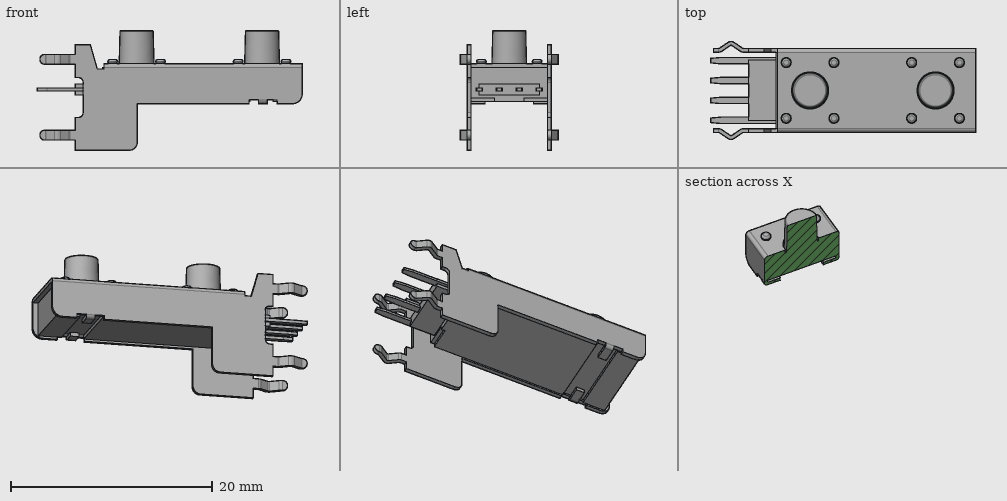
import cadquery as cq
import math


length = 26.38
frame_width = 8.4
sheet = 0.4
cover_top = 8.63
cover_start = 6.65
outer_y = frame_width / 2
inner_y = outer_y - sheet
cover_under = cover_top - sheet

plate_start = 3.77
ear_top = 10.5
ear_end = 5.3
relief_start = 6.0
relief_floor = 8.1
arm_bottom = 4.62
arm_corner_radius = 1.0
leg_end = 9.97
leg_corner_radius = 0.8
mouth_depth = 0.8
mouth_bottom = 3.27
mouth_top = 7.23
mouth_radius = 0.47

clip_height = 1.0
clip_levels = (1.5, 9.05)
clip_tip = 0.26
clip_peak_x = 2.03
clip_peak_y = 4.88
clip_angle = math.radians(34)
clip_outer_radius = 0.53
clip_inner_radius = 0.13

window_start = 21.08
window_end = 23.87
tab_center = 22.45
tab_width = 0.9
tab_reach = 2.4
tab_bend_radius = 0.37

housing_start = 6.5
housing_end = 25.85
housing_bottom = 4.83
step_height = 0.4
step_depth = 0.4
step_inner_y = 1.45
channel_start = 21.18
channel_end = 23.45

block_half_width = 3.0
block_bottom = 5.5
block_top = 6.6
pin_count = 4
pin_pitch = 1.98
pin_width = 0.65
pin_tip_width = 0.47
pin_taper = 1.0
pin_bottom = 5.88
pin_top = 6.2

button_centers = (9.9, 22.37)
cover_hole_diameter = 3.7
button_base_diameter = 3.5
button_top_diameter = 3.32
button_top = 11.9
button_edge_radius = 0.1
rivet_offset_x = 2.37
rivet_offset_y = 2.77
rivet_neck_diameter = 0.9
rivet_head_diameter = 1.0
rivet_flat_diameter = 0.53
rivet_head_bottom = 8.75
rivet_top = 9.05


def box(x0, x1, y0, y1, z0, z1):
    """Box between two opposite corners."""
    return cq.Workplane("XY").box(x1 - x0, y1 - y0, z1 - z0, centered=False).translate((x0, y0, z0))


def both_sides(solid):
    """The solid together with its mirror image across the XZ plane."""
    return solid.union(solid.mirror("XZ"))


def round_plate_corner(plate, x, z, radius):
    """Round the plate's corner at (x, z) through its thickness."""
    edge = cq.NearestToPointSelector((x, -inner_y - sheet / 2, z))
    return plate.edges("|Y").edges(edge).fillet(radius)


def side_plate():
    """Plate on the -Y side, with its mouth for the pins and its window for the tab."""
    outline = [
        (plate_start, 0),
        (leg_end, 0),
        (leg_end, arm_bottom),
        (window_start, arm_bottom),
        (window_start, arm_bottom + sheet),
        (window_end, arm_bottom + sheet),
        (window_end, arm_bottom),
        (length, arm_bottom),
        (length, cover_under),
        (cover_start, cover_under),
        (cover_start, relief_floor),
        (relief_start, relief_floor),
        (ear_end, ear_top),
        (plate_start, ear_top),
        (plate_start, mouth_top),
        (plate_start + mouth_depth, mouth_top),
        (plate_start + mouth_depth, mouth_bottom),
        (plate_start, mouth_bottom),
    ]
    plate = cq.Workplane("XZ", origin=(0, -inner_y, 0)).polyline(outline).close().extrude(sheet)
    plate = round_plate_corner(plate, leg_end, 0, leg_corner_radius)
    plate = round_plate_corner(plate, length, arm_bottom, arm_corner_radius)
    for mouth_z in (mouth_bottom, mouth_top):
        plate = round_plate_corner(plate, plate_start + mouth_depth, mouth_z, mouth_radius)
    return plate


def snap_clip(level):
    """Strip on the -Y side, bent outward to a rounded peak and rounded at its tip."""
    outer_apex = clip_peak_y + clip_outer_radius * (1 / math.cos(clip_angle) - 1)
    inner_apex = outer_apex - sheet / math.cos(clip_angle)
    inner_run = (inner_apex - inner_y) / math.tan(clip_angle)
    outer_run = (outer_apex - outer_y) / math.tan(clip_angle)
    outline = [
        (clip_tip, -inner_y),
        (clip_peak_x - inner_run, -inner_y),
        (clip_peak_x, -inner_apex),
        (clip_peak_x + inner_run, -inner_y),
        (plate_start, -inner_y),
        (plate_start, -outer_y),
        (clip_peak_x + outer_run, -outer_y),
        (clip_peak_x, -outer_apex),
        (clip_peak_x - outer_run, -outer_y),
        (clip_tip, -outer_y),
    ]
    bottom = level - clip_height / 2
    clip = cq.Workplane("XY", origin=(0, 0, bottom)).polyline(outline).close().extrude(clip_height)
    convex_bends = [(clip_peak_x, -outer_apex)]
    concave_bends = [(clip_peak_x, -inner_apex)]
    for direction in (-1, 1):
        convex_bends.append((clip_peak_x + direction * inner_run, -inner_y))
        concave_bends.append((clip_peak_x + direction * outer_run, -outer_y))
    for bends, radius in ((convex_bends, clip_outer_radius), (concave_bends, clip_inner_radius)):
        for x, y in bends:
            clip = clip.edges("|Z").edges(cq.NearestToPointSelector((x, y, level))).fillet(radius)
    tip_radius = clip_height / 2
    tip_center = clip_tip + tip_radius
    envelope = box(tip_center, plate_start, -clip_peak_y, -inner_y, bottom, bottom + clip_height)
    round_tip = cq.Workplane("XZ", origin=(tip_center, 0, level)).circle(tip_radius).extrude(clip_peak_y)
    return clip.intersect(envelope.union(round_tip))


def folded_tab():
    """Tab on the -Y side, folded inward below the arm."""
    tab_start = tab_center - tab_width / 2
    tab = box(tab_start, tab_start + tab_width, -outer_y, -tab_reach, arm_bottom, arm_bottom + sheet)
    return tab.edges("|X and <Y and <Z").fillet(tab_bend_radius)


def cover():
    """Top sheet with rounded bends and a clearance hole for each button."""
    sheet_top = box(cover_start, length, -outer_y, outer_y, cover_under - sheet, cover_top)
    sheet_top = sheet_top.edges("|X and >Z").fillet(sheet)
    sheet_top = sheet_top.cut(box(cover_start, length, -inner_y, inner_y, 0, cover_under))
    holes = cq.Workplane("XY", origin=(0, 0, cover_under))
    holes = holes.pushPoints([(x, 0) for x in button_centers]).circle(cover_hole_diameter / 2).extrude(sheet)
    return sheet_top.cut(holes)


def housing():
    """Block between the plates, with stepped front corners and a channel over the tabs."""
    step_top = housing_bottom + step_height
    body = box(housing_start, housing_end, -inner_y, inner_y, housing_bottom, cover_under)
    step = box(housing_start, housing_start + step_depth, -inner_y, -step_inner_y, housing_bottom, step_top)
    channel = box(channel_start, channel_end, -inner_y, inner_y, housing_bottom, step_top)
    return body.cut(both_sides(step)).cut(channel)


def connector():
    """Block in front of the housing with a row of pins tapered at the tip."""
    block = box(plate_start, housing_start, -block_half_width, block_half_width, block_bottom, block_top)
    outline = [
        (0, -pin_tip_width / 2),
        (pin_taper, -pin_width / 2),
        (housing_start, -pin_width / 2),
        (housing_start, pin_width / 2),
        (pin_taper, pin_width / 2),
        (0, pin_tip_width / 2),
    ]
    pin = cq.Workplane("XY", origin=(0, 0, pin_bottom)).polyline(outline).close()
    pin = pin.extrude(pin_top - pin_bottom)
    for index in range(pin_count):
        block = block.union(pin.translate((0, (index - (pin_count - 1) / 2) * pin_pitch, 0)))
    return block


def button():
    """Slightly tapered button standing on the housing."""
    shape = cq.Workplane("XY", origin=(0, 0, cover_under)).circle(button_base_diameter / 2)
    shape = shape.workplane(offset=button_top - cover_under).circle(button_top_diameter / 2).loft()
    return shape.edges(">Z").fillet(button_edge_radius)


def rivet():
    """Rivet with a narrow neck and a domed head with a flat top."""
    neck = rivet_neck_diameter / 2
    head = rivet_head_diameter / 2
    flat = rivet_flat_diameter / 2
    dome_width = head - flat
    dome_height = rivet_top - rivet_head_bottom
    dome_middle = (
        flat + dome_width * math.sin(math.pi / 4),
        rivet_head_bottom + dome_height * math.sin(math.pi / 4),
    )
    profile = cq.Workplane("XZ").moveTo(0, cover_under).lineTo(neck, cover_under)
    profile = profile.lineTo(neck, rivet_head_bottom).lineTo(head, rivet_head_bottom)
    profile = profile.threePointArc(dome_middle, (flat, rivet_top)).lineTo(0, rivet_top).close()
    return profile.revolve(360, (0, 0), (0, 1))


side = side_plate().union(folded_tab())
for clip_level in clip_levels:
    side = side.union(snap_clip(clip_level))

result = both_sides(side).union(cover()).union(housing()).union(connector())
for center_x in button_centers:
    result = result.union(button().translate((center_x, 0, 0)))
    for sign_x in (-1, 1):
        for sign_y in (-1, 1):
            rivet_place = (center_x + sign_x * rivet_offset_x, sign_y * rivet_offset_y, 0)
            result = result.union(rivet().translate(rivet_place))